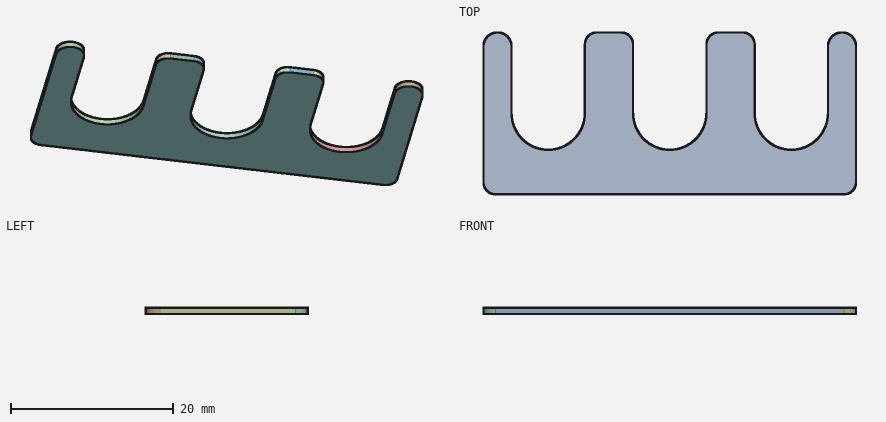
import cadquery as cq

length = 46.0
width = 20.0
thickness = 0.85
base_corner_radius = 1.5

slot_count = 3
slot_width = 9.0
slot_pitch = 15.0
slot_floor = 5.5
finger_corner_radius = 1.5

slot_radius = slot_width / 2
slot_arc_y = -width / 2 + slot_floor + slot_radius
slot_centers = [(i - (slot_count - 1) / 2) * slot_pitch for i in range(slot_count)]
outer_finger_width = length / 2 - slot_centers[-1] - slot_radius
tip_radius = outer_finger_width / 2
inner_finger_centers = [(a + b) / 2 for a, b in zip(slot_centers, slot_centers[1:])]
inner_finger_width = slot_pitch - slot_width


def base_plate():
    """Plate up to the level where the round tips of the outer fingers begin."""
    height = width - tip_radius
    plate = cq.Workplane("XY").box(length, height, thickness)
    plate = plate.edges("|Z and <Y").fillet(base_corner_radius)
    return plate.translate((0, -tip_radius / 2, 0))


def slot(x):
    """Cutter for one slot, open at the +Y edge."""
    return (
        cq.Workplane("XY", origin=(0, 0, -thickness / 2))
        .moveTo(x - slot_radius, width / 2)
        .lineTo(x - slot_radius, slot_arc_y)
        .threePointArc((x, slot_arc_y - slot_radius), (x + slot_radius, slot_arc_y))
        .lineTo(x + slot_radius, width / 2)
        .close()
        .extrude(thickness)
    )


def inner_finger(x):
    """Finger between two slots, with rounded corners at its tip."""
    finger_length = width / 2 - slot_arc_y
    return (
        cq.Workplane("XY")
        .box(inner_finger_width, finger_length, thickness)
        .edges("|Z and >Y")
        .fillet(finger_corner_radius)
        .translate((x, slot_arc_y + finger_length / 2, 0))
    )


def outer_tip(x):
    """Full-round end of an outer finger."""
    return (
        cq.Workplane("XY", origin=(x, width / 2 - tip_radius, -thickness / 2))
        .circle(tip_radius)
        .extrude(thickness)
    )


result = base_plate()
for center in slot_centers:
    result = result.cut(slot(center))
for center in inner_finger_centers:
    result = result.union(inner_finger(center))
for side in (-1, 1):
    result = result.union(outer_tip(side * (length / 2 - tip_radius)))
result = result.clean()